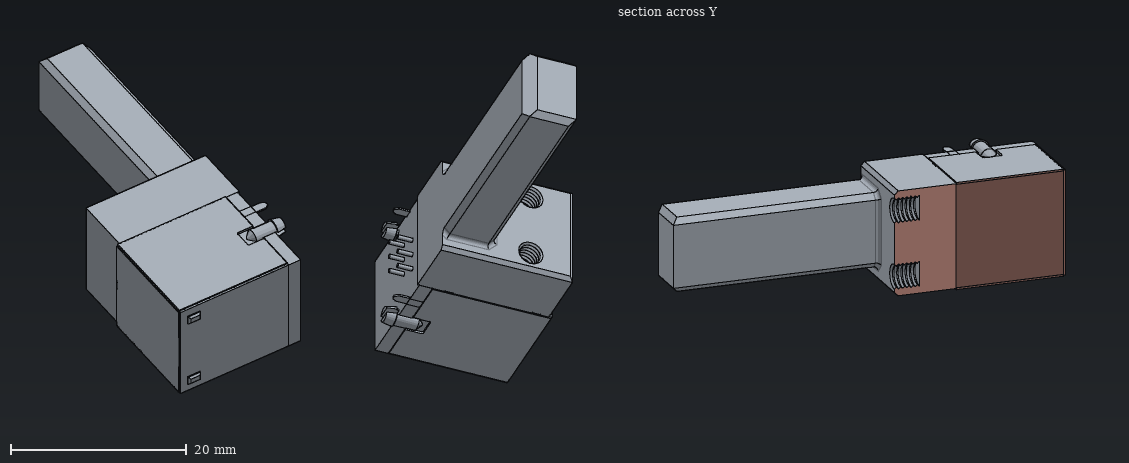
import cadquery as cq


handle_half_height = 4.5
handle_depth = 6.15
handle_edge_chamfer = 0.7
handle_top_bevel = 1.35
root_fillet = 0.5

head_start = 25.1
head_end = 32.68
head_half_height = 6.35
head_depth = 16.18
head_chamfer = 0.45

screw_hole_y = -10.85
screw_hole_z = 4.0
thread_major_radius = 1.5
thread_minor_radius = 1.25
thread_pitch = 0.5
thread_turns = 6

sheet = 0.3
half_sheet = sheet / 2
shell_end = 46.0
shell_half_height = 6.5
shell_bottom = -16.6
shell_top = -1.85

pin_tip = 1.58
tab_x = 36.0
tab_width = 1.05
tab_tip_width = 0.4
tab_tip_length = 0.45
tab_free_setback = 0.05

notch_width = 2.4
notch_bottom = -4.05
notch_corner_radius = 0.2

bump_height = 0.35
bump_length = 1.65
bump_width = 1.1
bump_chamfer = 0.25
bump_y = -14.7
bump_z = 4.75

bottom_lip_length = 0.3
bottom_lip_width = 1.0
bottom_lip_rise = 0.25
side_lip_length = 0.1
side_lip_width = 0.97
side_lip_places = [-3.85, -14.6]

tongue_half_length = 2.35

core_half_height = shell_half_height - sheet
core_end = shell_end - sheet
core_bottom = shell_bottom + sheet
rim_half_height = shell_half_height - half_sheet
rim_top = -0.25

peg_x = 39.68
peg_z = 6.03
peg_radius = 0.97
peg_collar_radius = 1.15
peg_tip_radius = 0.95
peg_collar_y = 0.05
peg_tip_y = 1.25
peg_slit = 0.6
peg_shank_end = -2.75
peg_point_end = -3.65

contact_diameter = 0.5
contact_count = 6
contact_pitch = 1.0
contact_rows = [34.8, 37.3]


def block(x_range, y_range, z_range):
    """Box between the given limits along each axis."""
    lows, highs = zip(x_range, y_range, z_range)
    sizes = [high - low for low, high in zip(lows, highs)]
    return cq.Workplane("XY").box(*sizes, centered=False).translate(lows)


def both_sides(shape):
    """Shape together with its mirror image below Z = 0."""
    return shape.union(shape.mirror("XY"))


def make_handle():
    """Bar with chamfered long edges and a bevelled free end."""
    blank = block((0, head_start), (-handle_depth, 0), (-handle_half_height, handle_half_height))
    bar = blank.edges("|X").chamfer(handle_edge_chamfer)
    side_outline = (
        cq.Workplane("XY")
        .moveTo(0, -handle_depth)
        .lineTo(head_start, -handle_depth)
        .lineTo(head_start, 0)
        .lineTo(handle_top_bevel, 0)
        .lineTo(0, -handle_top_bevel)
        .close()
        .extrude(handle_half_height, both=True)
    )
    tapered_end = blank.edges("<X and |Y").chamfer(handle_edge_chamfer)
    return bar.intersect(side_outline).intersect(tapered_end)


def make_threaded_hole(z):
    """Cutter for a blind hole whose wall is a stack of V-shaped grooves."""
    outline = cq.Workplane("XY").moveTo(0, 0).lineTo(0, thread_major_radius)
    for turn in range(thread_turns):
        outline = outline.lineTo((turn + 0.5) * thread_pitch, thread_minor_radius)
        outline = outline.lineTo((turn + 1) * thread_pitch, thread_major_radius)
    cutter = outline.lineTo(thread_turns * thread_pitch, 0).close()
    cutter = cutter.revolve(360, (0, 0, 0), (1, 0, 0))
    return cutter.translate((head_start, screw_hole_y, z))


def make_plug():
    head = block((head_start, head_end), (-head_depth, 0), (-head_half_height, head_half_height))
    head = head.edges("<X and |Y").chamfer(head_chamfer)
    head = head.edges("<X and <Y").chamfer(head_chamfer)
    plug = head.union(make_handle())
    margin = root_fillet / 2
    root_edges = cq.selectors.BoxSelector(
        (head_start - margin, -handle_depth - margin, -handle_half_height - margin),
        (head_start + margin, -margin, handle_half_height + margin),
    )
    plug = plug.edges(root_edges).fillet(root_fillet)
    for z in (-screw_hole_z, screw_hole_z):
        plug = plug.cut(make_threaded_hole(z))
    return plug.cut(make_side_lips())


def make_core():
    """Inner block of the housing, wrapped by the shell."""
    return block((head_end, core_end), (core_bottom, shell_top), (-core_half_height, core_half_height))


def make_tabs():
    """Pointed solder tabs on the side walls, flush with the housing rim and thinner beyond it."""
    half = tab_width / 2
    half_tip = tab_tip_width / 2
    shoulder = pin_tip - tab_tip_length
    tab = (
        cq.Workplane("XY", origin=(tab_x, 0, rim_half_height - sheet))
        .moveTo(-half, shell_top)
        .lineTo(half, shell_top)
        .lineTo(half, shoulder)
        .lineTo(half_tip, pin_tip)
        .lineTo(-half_tip, pin_tip)
        .lineTo(-half, shoulder)
        .close()
        .extrude(sheet)
    )
    setback = block(
        (tab_x - half, tab_x + half),
        (rim_top, pin_tip),
        (rim_half_height - tab_free_setback, rim_half_height),
    )
    return both_sides(tab.cut(setback))


def make_peg_notches():
    """Cutters for the round-cornered openings around the peg points."""
    half = notch_width / 2
    notch = block(
        (peg_x - half, peg_x + half),
        (notch_bottom, shell_top),
        (core_half_height, shell_half_height),
    )
    return both_sides(notch.edges("<Y and |Z").fillet(notch_corner_radius))


def make_bumps():
    """Raised pads on the rear wall."""
    pad = block(
        (shell_end, shell_end + bump_height),
        (bump_y - bump_length / 2, bump_y + bump_length / 2),
        (bump_z - bump_width / 2, bump_z + bump_width / 2),
    )
    return both_sides(pad.faces(">X").chamfer(bump_chamfer))


def make_bottom_lip():
    """Bent lip on the front edge of the bottom wall."""
    lip_start = head_end - bottom_lip_length
    return (
        cq.Workplane("XY")
        .moveTo(head_end, shell_bottom)
        .lineTo(lip_start, shell_bottom + bottom_lip_rise)
        .lineTo(lip_start, -head_depth)
        .lineTo(head_end, -head_depth)
        .close()
        .extrude(bottom_lip_width / 2, both=True)
    )


def make_side_lips():
    """Short lips on the front edges of the side walls, flush with the plug head."""
    lips = cq.Workplane("XY")
    for y in side_lip_places:
        lip = block(
            (head_end - side_lip_length, head_end),
            (y - side_lip_width / 2, y + side_lip_width / 2),
            (rim_half_height - sheet, rim_half_height),
        )
        lips = lips.add(both_sides(lip))
    return lips.combine()


def make_walls():
    """Side, bottom and rear walls, stepped at the corners."""
    side = block(
        (head_end, core_end),
        (shell_bottom + half_sheet, shell_top),
        (core_half_height, shell_half_height),
    )
    bottom = block(
        (head_end, core_end), (shell_bottom, core_bottom), (-core_half_height, core_half_height)
    )
    rear = block(
        (core_end, shell_end),
        (shell_bottom + half_sheet, shell_top),
        (-rim_half_height, rim_half_height),
    )
    tongue = block(
        (core_end, core_end + half_sheet),
        (shell_bottom, core_bottom),
        (-tongue_half_length, tongue_half_length),
    )
    return both_sides(side).union(bottom).union(rear).union(tongue)


def make_shell():
    shell = make_walls().cut(make_peg_notches())
    shell = shell.union(make_tabs()).union(make_bumps())
    return shell.union(make_bottom_lip()).union(make_side_lips())


def make_pegs():
    """Locating pegs: tip widening to a collar edge, round shank and conical point, slit at the tip."""
    peg = (
        cq.Workplane("ZY")
        .moveTo(0, peg_tip_y)
        .lineTo(peg_tip_radius, peg_tip_y)
        .lineTo(peg_collar_radius, peg_collar_y)
        .lineTo(peg_radius, peg_collar_y)
        .lineTo(peg_radius, peg_shank_end)
        .lineTo(0, peg_point_end)
        .close()
        .revolve(360, (0, 0, 0), (0, 1, 0))
        .translate((peg_x, 0, peg_z))
    )
    slit = block(
        (peg_x - peg_collar_radius, peg_x + peg_collar_radius),
        (rim_top, peg_tip_y),
        (peg_z - peg_slit / 2, peg_z + peg_slit / 2),
    )
    return both_sides(peg.cut(slit))


def make_housing():
    rim = block((head_end, shell_end), (shell_top, rim_top), (-rim_half_height, rim_half_height))
    return make_core().union(rim).cut(make_tabs()).cut(make_side_lips()).union(make_pegs())


def make_contact(index):
    """Round contact; neighbours alternate between the two rows."""
    x = contact_rows[index % len(contact_rows)]
    z = (index - (contact_count - 1) / 2) * contact_pitch
    contact = cq.Workplane("XZ", origin=(x, rim_top, z)).circle(contact_diameter / 2)
    return contact.extrude(rim_top - pin_tip)


plug = make_plug()
shell = make_shell()
housing = make_housing()
contacts = [make_contact(index) for index in range(contact_count)]

result = cq.Compound.makeCompound(
    [plug.solids().val(), shell.solids().val(), housing.solids().val()]
    + [contact.val() for contact in contacts]
)